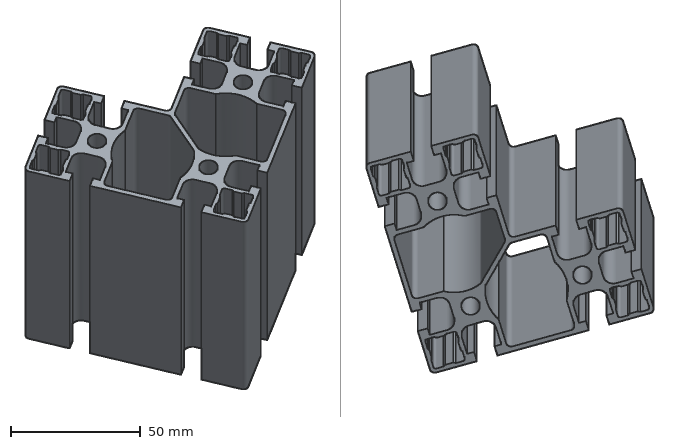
import cadquery as cq
import math


CELL = 45.0
LENGTH = 100.0
PITCH = CELL / 2
OUTER_RADIUS = 2.0
CORE_BORE = 7.2

SLOT_OPENING = 8.2
SLOT_WIDTH = 13.8
LIP_DEPTH = 4.0
CORE_HALF = 7.5
SLOT_FLOOR_RADIUS = 4.0

CHAMBER_SIZE = 12.6
CHAMBER_WALL = 1.6
CHAMBER_RADIUS = 1.0
RIB_TOP = 3.3
RIB_BASE = 5.0
RIB_HEIGHT = 0.5

SIDE_WALL = 2.0
STEP_WALL = 2.0
SLOT_WALL = 1.9
LARGE_RADIUS = 2.0
RELIEF_RADIUS = 16.0
WEB = 2.0

UP, DOWN, LEFT, RIGHT = 90, 270, 180, 0

CELLS = [
    ((PITCH, PITCH), (UP, LEFT, RIGHT), ((-1, 1), (1, 1))),
    ((PITCH, -PITCH), (RIGHT, DOWN), ((1, -1),)),
    ((-PITCH, -PITCH), (UP, LEFT, DOWN), ((-1, 1), (-1, -1))),
]


def block(x_min, x_max, y_min, y_max):
    """Full-length rectangular prism."""
    width = x_max - x_min
    depth = y_max - y_min
    return cq.Workplane("XY").box(width, depth, LENGTH, centered=False).translate((x_min, y_min, 0))


def outline():
    """Solid L with all corners rounded, including the inside one."""
    points = [(-CELL, -CELL), (CELL, -CELL), (CELL, CELL), (0, CELL), (0, 0), (-CELL, 0)]
    return cq.Workplane("XY").polyline(points).close().extrude(LENGTH).edges("|Z").fillet(OUTER_RADIUS)


def slot(centre, direction):
    """T-slot cutter opening from a cell centre in the given direction (degrees)."""
    pocket = block(CORE_HALF, PITCH - LIP_DEPTH, -SLOT_WIDTH / 2, SLOT_WIDTH / 2)
    pocket = pocket.edges("|Z and <X").fillet(SLOT_FLOOR_RADIUS)
    mouth = block(CORE_HALF + SLOT_FLOOR_RADIUS, PITCH, -SLOT_OPENING / 2, SLOT_OPENING / 2)
    cutter = pocket.union(mouth).rotate((0, 0, 0), (0, 0, 1), direction)
    return cutter.translate((*centre, 0))


def corner_chamber(centre, corner):
    """Square chamber cutter in one corner of a cell, with a low rib on each side."""
    half = CHAMBER_SIZE / 2
    cutter = block(-half, half, -half, half).edges("|Z").fillet(CHAMBER_RADIUS)
    rib_points = [
        (half, -RIB_BASE / 2),
        (half - RIB_HEIGHT, -RIB_TOP / 2),
        (half - RIB_HEIGHT, RIB_TOP / 2),
        (half, RIB_BASE / 2),
    ]
    rib = cq.Workplane("XY").polyline(rib_points).close().extrude(LENGTH)
    for direction in (RIGHT, UP, LEFT, DOWN):
        cutter = cutter.cut(rib.rotate((0, 0, 0), (0, 0, 1), direction))
    offset = PITCH - CHAMBER_WALL - half
    return cutter.translate((centre[0] + corner[0] * offset, centre[1] + corner[1] * offset, 0))


def large_chamber():
    """Chamber cutter between the two right-hand cells, bounded by the diagonal web."""
    y_half = PITCH - SLOT_WIDTH / 2 - SLOT_WALL
    room = block(STEP_WALL, CELL - SIDE_WALL, -y_half, y_half).edges("|Z").fillet(LARGE_RADIUS)
    relief = cq.Workplane("XY").center(PITCH, 0).circle(RELIEF_RADIUS).extrude(LENGTH)
    web_offset = WEB / 2 * math.sqrt(2)
    below_web = (
        cq.Workplane("XY")
        .polyline([(-CELL, web_offset + CELL), (CELL, web_offset - CELL), (-CELL, web_offset - CELL)])
        .close()
        .extrude(LENGTH)
    )
    chamber = room.union(relief).cut(below_web)
    return chamber.faces("<(1, 1, 0)").edges("|Z").fillet(LARGE_RADIUS)


result = outline()

for cell_centre, slot_directions, chamber_corners in CELLS:
    bore = cq.Workplane("XY").center(*cell_centre).circle(CORE_BORE / 2).extrude(LENGTH)
    result = result.cut(bore)
    for slot_direction in slot_directions:
        result = result.cut(slot(cell_centre, slot_direction))
    for chamber_corner in chamber_corners:
        result = result.cut(corner_chamber(cell_centre, chamber_corner))

right_chamber = large_chamber()
lower_chamber = right_chamber.rotate((0, 0, 0), (0, 0, 1), -90).mirror("YZ")
result = result.cut(right_chamber).cut(lower_chamber)